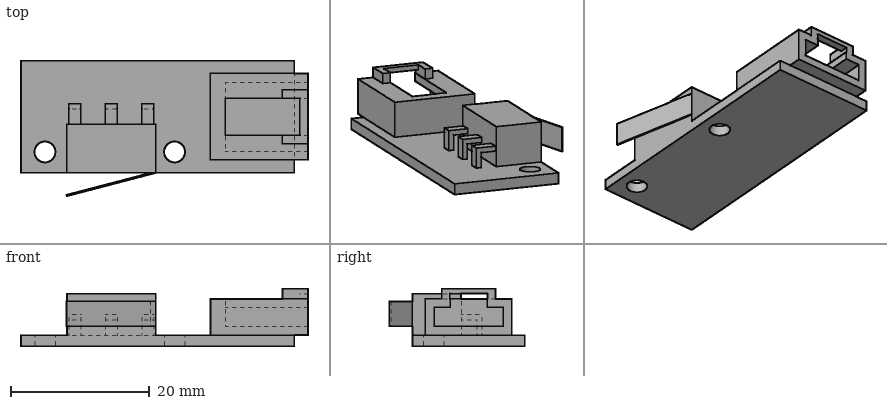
import cadquery as cq
import math

board_length = 39.5
board_width = 16.23
board_thickness = 1.6
hole_diameter = 3.0
hole_first_x = 3.5
hole_spacing = 18.7
hole_y = 3.05

switch_x = 6.65
switch_length = 12.85
switch_depth = 7.0
switch_height = 5.98

pin_count = 3
pin_width = 1.7
pin_pitch = 5.25
pin_reach = 3.0
pin_height = 3.0
pin_thickness = 0.75

lever_reach = 3.35
lever_thickness = 0.2
lever_bottom = board_thickness + 1.25
lever_height = 3.6

connector_end = 41.5
connector_length = 14.1
connector_width = 12.5
connector_height = 5.23
connector_wall = 1.25
connector_back_wall = 2.1
slot_width = 5.3
connector_top = board_thickness + connector_height
center_y = board_width / 2

latch_length = 3.75
latch_width = 7.8
latch_height = 1.5
latch_arm = 1.2
latch_bar_height = latch_height / 2


def box(x, y, z, length, width, height):
    """Box placed by its minimum corner."""
    return cq.Workplane("XY").box(length, width, height, centered=False).translate((x, y, z))


def end_box(length, width, z, height):
    """Box centred across the board and ending at the connector's open end."""
    return box(connector_end - length, center_y - width / 2, z, length, width, height)


def make_board():
    board = box(0, 0, 0, board_length, board_width, board_thickness)
    hole_centers = [(hole_first_x + i * hole_spacing, hole_y) for i in range(2)]
    holes = cq.Workplane("XY").pushPoints(hole_centers).circle(hole_diameter / 2).extrude(board_thickness)
    return board.cut(holes)


def make_pin(x):
    pin = box(x, switch_depth, board_thickness, pin_width, pin_reach, pin_height)
    under_bend = box(
        x, switch_depth, board_thickness,
        pin_width, pin_reach - pin_thickness, pin_height - pin_thickness,
    )
    return pin.cut(under_bend)


def make_lever():
    switch_end = switch_x + switch_length
    lever_angle = math.atan2(lever_reach, switch_length)
    offset_x = -lever_thickness * math.sin(lever_angle)
    offset_y = lever_thickness * math.cos(lever_angle)
    outline = [
        (switch_x, -lever_reach),
        (switch_end, 0),
        (switch_end + offset_x, offset_y),
        (switch_x + offset_x, -lever_reach + offset_y),
    ]
    return cq.Workplane("XY").workplane(offset=lever_bottom).polyline(outline).close().extrude(lever_height)


def make_switch():
    switch = box(switch_x, 0, board_thickness, switch_length, switch_depth, switch_height)
    center_x = switch_x + switch_length / 2
    for i in range(pin_count):
        pin_center = center_x + (i - (pin_count - 1) / 2) * pin_pitch
        switch = switch.union(make_pin(pin_center - pin_width / 2))
    return switch.union(make_lever())


def make_connector():
    shell = end_box(connector_length, connector_width, board_thickness, connector_height)
    inner_length = connector_length - connector_back_wall
    cavity = end_box(
        inner_length,
        connector_width - 2 * connector_wall,
        board_thickness + connector_wall,
        connector_height - 2 * connector_wall,
    )
    slot = end_box(inner_length, slot_width, connector_top - connector_wall, connector_wall)
    return shell.cut(cavity).cut(slot)


def make_latch():
    latch = end_box(latch_length, latch_width, connector_top, latch_height)
    opening_width = latch_width - 2 * latch_arm
    between_arms = end_box(latch_length, opening_width, connector_top, latch_height)
    bar = end_box(
        latch_arm, opening_width,
        connector_top + latch_height - latch_bar_height, latch_bar_height,
    )
    return latch.cut(between_arms).union(bar)


result = make_board().union(make_switch()).union(make_connector()).union(make_latch())